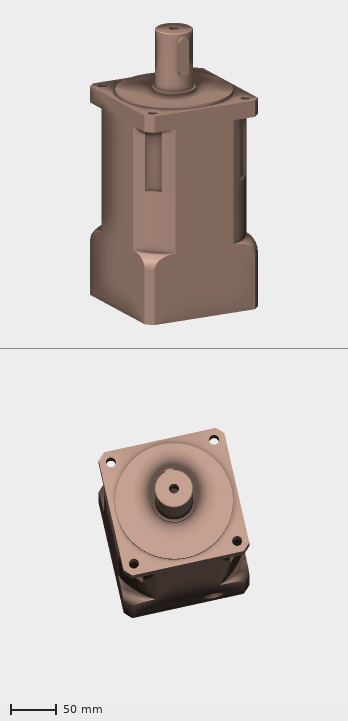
import cadquery as cq
import math


foot_top = 78.5
base_top = 95.0
ring_top = 148.0
flange_bottom = 221.7
flange_top = 240.5
pilot_top = 244.0
collar_top = 247.0
shaft_top = 314.0

width = 142.0
body_corner_radius = 79.8
foot_corner_radius = 94.8
foot_fillet = 15.0

pilot_diameter = 130.0
bolt_circle_diameter = 165.0
bolt_hole_diameter = 11.0
flute_radius = 10.5

hub_radius = 37.0
hub_bore_radius = 44.5
hub_bore_depth = 37.7
access_diameter = 22.5
access_y = -29.0
access_z = 25.7

shaft_diameter = 42.0
shaft_chamfer = 1.0
collar_diameter = 48.5
center_hole_diameter = 11.0
center_hole_depth = 25.0
drill_point_angle = 118
key_width = 12.2
key_bottom = 264.7
key_top = 309.3
key_outer_x = 24.0

half_width = width / 2
bolt_offset = bolt_circle_diameter / 2 * math.sqrt(0.5)
bolt_places = [(sx * bolt_offset, sy * bolt_offset) for sx in (-1, 1) for sy in (-1, 1)]


def cylinder(radius, bottom, top):
    return cq.Workplane("XY").workplane(offset=bottom).circle(radius).extrude(top - bottom)


def square_block(bottom, top):
    return cq.Workplane("XY").workplane(offset=bottom).rect(width, width).extrude(top - bottom)


def rounded_block(corner_radius, bottom, top):
    """Square block whose corners are cut by a cylinder around the Z axis."""
    return square_block(bottom, top).intersect(cylinder(corner_radius, bottom, top))


def holes_at_corners(radius, bottom, top):
    plane = cq.Workplane("XY").workplane(offset=bottom)
    return plane.pushPoints(bolt_places).circle(radius).extrude(top - bottom)


def make_base():
    foot_round = cylinder(foot_corner_radius, 0, foot_top).faces(">Z").edges().fillet(foot_fillet)
    foot = square_block(0, foot_top).intersect(foot_round)
    base = foot.union(rounded_block(body_corner_radius, 0, base_top))

    hub_space = cylinder(hub_bore_radius, 0, hub_bore_depth).cut(cylinder(hub_radius, 0, hub_bore_depth))
    base = base.cut(hub_space)

    access = (
        cq.Workplane("YZ", origin=(-half_width, 0, 0))
        .center(access_y, access_z)
        .circle(access_diameter / 2)
        .extrude(half_width)
        .cut(cylinder(hub_radius, 0, base_top))
    )
    return base.cut(access)


def make_ring():
    return rounded_block(body_corner_radius, base_top, ring_top)


def make_fluted_housing():
    housing = rounded_block(body_corner_radius, ring_top, flange_bottom)
    return housing.cut(holes_at_corners(flute_radius, ring_top, flange_bottom))


def make_key():
    """Round-ended key standing out of the +X side of the shaft."""
    return (
        cq.Workplane("YZ")
        .center(0, (key_bottom + key_top) / 2)
        .slot2D(key_top - key_bottom, key_width, 90)
        .extrude(key_outer_x)
    )


def make_center_hole():
    """Blind hole with a drill point, going down from the shaft end."""
    hole_radius = center_hole_diameter / 2
    straight_bottom = shaft_top - center_hole_depth
    point_bottom = straight_bottom - hole_radius / math.tan(math.radians(drill_point_angle / 2))
    return (
        cq.Workplane("XZ")
        .moveTo(0, shaft_top)
        .lineTo(hole_radius, shaft_top)
        .lineTo(hole_radius, straight_bottom)
        .lineTo(0, point_bottom)
        .close()
        .revolve(360, (0, 0, 0), (0, 1, 0))
    )


def make_output_flange():
    """Mounting flange in one piece with the pilot, the collar, the shaft and its key."""
    flange = rounded_block(foot_corner_radius, flange_bottom, flange_top)
    flange = flange.cut(holes_at_corners(bolt_hole_diameter / 2, flange_bottom, flange_top))
    pilot = cylinder(pilot_diameter / 2, flange_top, pilot_top)
    collar = cylinder(collar_diameter / 2, pilot_top, collar_top)
    shaft = cylinder(shaft_diameter / 2, collar_top, shaft_top).faces(">Z").edges().chamfer(shaft_chamfer)
    return flange.union(pilot).union(collar).union(shaft).union(make_key()).cut(make_center_hole())


base = make_base()
ring = make_ring()
fluted_housing = make_fluted_housing()
output_flange = make_output_flange()

result = cq.Compound.makeCompound([base.val(), ring.val(), fluted_housing.val(), output_flange.val()])